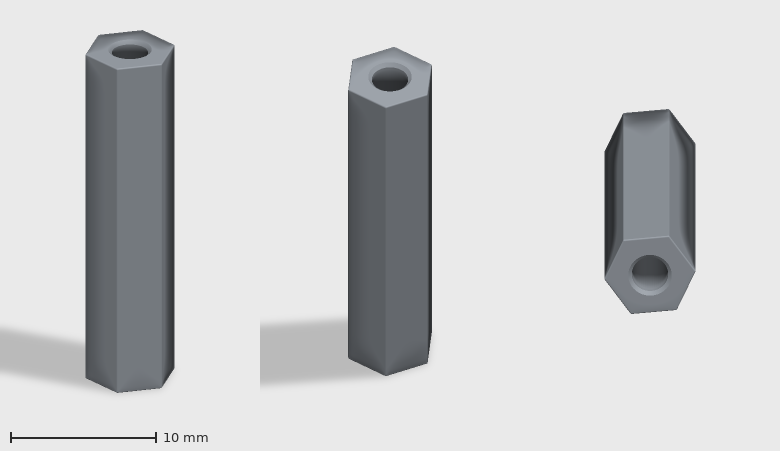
import cadquery as cq
import math

length = 25.0
across_flats = 5.5
edge_radius = 0.1
bore_diameter = 2.5
mouth_diameter = 3.0

across_corners = across_flats / math.cos(math.pi / 6)
mouth_chamfer = (mouth_diameter - bore_diameter) / 2

bar = cq.Workplane("XY").polygon(6, across_corners).extrude(length).edges().fillet(edge_radius)

bored_bar = bar.faces(">Z").workplane().hole(bore_diameter)

largest_radius = cq.selectors.RadiusNthSelector(-1)
result = bored_bar.edges("%CIRCLE").edges(largest_radius).chamfer(mouth_chamfer)